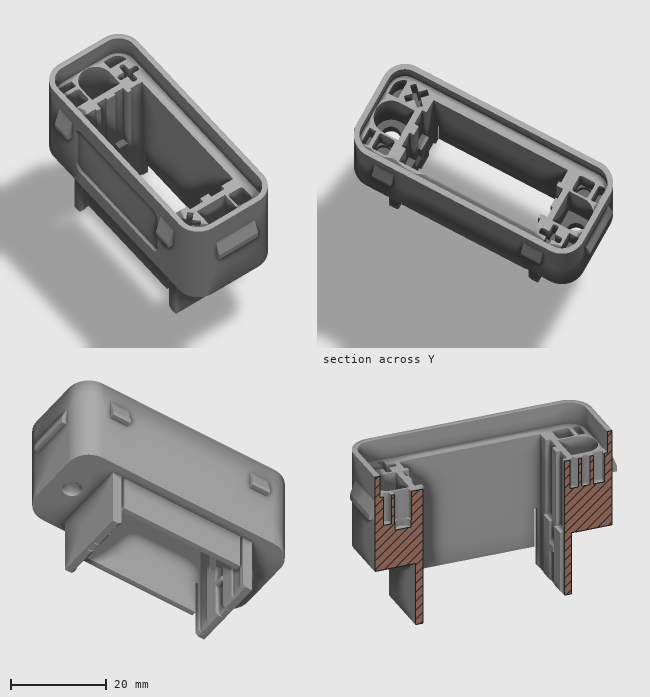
import cadquery as cq

overall_length = 56.3
overall_width = 24.4

body_length = 53.95
body_width = 21.95
body_height = 22.4
corner_radius = 5.05
wall = 1.2
floor_top = 17.4

window_length = 32.05
window_width = 15.15

skirt_length = 29.45
skirt_depth = 9.0
skirt_width = 17.45
leg_depth = 14.45
leg_outer_x = 17.75
leg_inner_x = 15.5
leg_chamfer = 0.7

key_half_width = 4.5
groove_outer_x = 17.05
finger_half_width = 1.05
slit_width = 0.2
left_groove_end_y = 3.5
left_finger_x = 16.55
nub_tip_x = 15.3
nub_top = -4.95
nub_bottom = -6.2
nub_ramp_rise = 1.1

screw_x = 22.0
screw_hole_diameter = 4.3
screw_pocket_radius = 3.65
screw_seat = 3.4

coding_depth = 6.75
coding_bottom = floor_top - coding_depth
square_x = 20.6
square_y = 5.95
square_side = 3.8
square_corner = 0.55
round_diameter = 3.7
round_depth = 1.7
cross_x = 19.6
cross_y = 6.7
cross_span = 5.1
cross_arm_width = 1.35
plus_tip_fillet = 0.45
diagonal_tip_fillet = 0.15
quarter_inner_x = 22.75
quarter_inner_y = 4.35
quarter_center_x = 22.3
quarter_center_y = 5.95
quarter_radius = 2.75
quarter_fillet = 0.3
slot_center_x = 24.1
slot_inner_y = 4.1
slot_outer_y = 7.8
slot_width = 1.65
slot_fillet = 0.55

end_clip_reach = (overall_length - body_length) / 2
side_clip_reach = (overall_width - body_width) / 2
side_clip_x = 17.75
side_clip_width = 4.45
side_clip_top = body_height - 4.05
side_clip_bend = body_height - 8.2
side_clip_bottom = body_height - 9.25
end_clip_width = 10.1
end_clip_top = body_height - 5.8
end_clip_bend = body_height - 8.85
end_clip_bottom = body_height - 10.2

panel_length = 28.7
panel_height = 13.9
panel_top = body_height - 4.45
panel_corner = 1.95
panel_depth = 0.5
panel_taper = 45


def block(x_range, y_range, z_range):
    """Box spanning the given (low, high) ranges."""
    sizes = [high - low for low, high in (x_range, y_range, z_range)]
    corner = (x_range[0], y_range[0], z_range[0])
    return cq.Workplane("XY").box(*sizes, centered=False).translate(corner)


def opposite(shape):
    """The same shape turned half a turn about Z."""
    return shape.rotate((0, 0, 0), (0, 0, 1), 180)


def make_hood():
    hood = cq.Workplane("XY").rect(body_length, body_width).extrude(body_height)
    hood = hood.edges("|Z").fillet(corner_radius)
    rim = (
        cq.Workplane("XY", origin=(0, 0, floor_top))
        .rect(body_length - 2 * wall, body_width - 2 * wall)
        .extrude(body_height - floor_top)
        .edges("|Z").fillet(corner_radius - wall)
    )
    return hood.cut(rim)


def make_skirt_and_legs():
    skirt = block(
        (-skirt_length / 2, skirt_length / 2),
        (-skirt_width / 2, skirt_width / 2),
        (-skirt_depth, 0),
    )
    leg = block(
        (leg_inner_x, leg_outer_x),
        (-skirt_width / 2, skirt_width / 2),
        (-leg_depth, 0),
    )
    leg = leg.edges("<X and <Z").chamfer(leg_chamfer)
    return skirt.union(leg).union(opposite(leg))


def make_window():
    """Cutter for the window, stopping short of the key pads on both ends."""
    x_end = window_length / 2
    y_end = window_width / 2
    heights = (-leg_depth, floor_top)
    window = block((-x_end, x_end), (-y_end, y_end), heights)
    keys = (-key_half_width, key_half_width)
    pad = block((leg_inner_x, x_end), keys, (-leg_depth, 0))
    left_pad = block((-x_end, -leg_inner_x), keys, heights)
    return window.cut(pad).cut(left_pad)


def make_finger_cuts(groove_end_y, finger_x):
    """Cutter at the +X end: key grooves, slits beside the finger and finger face."""
    slit_end_y = finger_half_width + slit_width
    cuts = block(
        (leg_inner_x, finger_x),
        (-finger_half_width, finger_half_width),
        (-leg_depth, floor_top),
    )
    groove_x = (leg_inner_x, groove_outer_x)
    slit = block(groove_x, (finger_half_width, slit_end_y), (-leg_depth, floor_top))
    groove = block(groove_x, (slit_end_y, groove_end_y), (0, floor_top))
    for side_cut in (slit, groove):
        cuts = cuts.union(side_cut).union(side_cut.mirror("XZ"))
    return cuts


def make_nub(finger_x, ramp_rise):
    """Latching nub at the +X end, with its upper face rising toward the finger."""
    profile = [
        (finger_x, nub_bottom),
        (nub_tip_x, nub_bottom),
        (nub_tip_x, nub_top),
        (finger_x, nub_top + ramp_rise),
    ]
    return cq.Workplane("XZ").polyline(profile).close().extrude(finger_half_width, both=True)


def make_screw_pocket():
    """D-shaped pocket with a through hole, at the +X end."""
    plane = cq.Workplane("XY", origin=(screw_x, 0, screw_seat))
    pocket = (
        plane.moveTo(-screw_pocket_radius, -screw_pocket_radius)
        .lineTo(0, -screw_pocket_radius)
        .threePointArc((screw_pocket_radius, 0), (0, screw_pocket_radius))
        .lineTo(-screw_pocket_radius, screw_pocket_radius)
        .close()
        .extrude(floor_top - screw_seat)
    )
    hole = cq.Workplane("XY", origin=(screw_x, 0, 0)).circle(screw_hole_diameter / 2).extrude(floor_top)
    return pocket.union(hole)


def make_cross(tip_fillet):
    """Plus-shaped pocket with rounded arm tips, centred on Z."""
    arm = (
        cq.Workplane("XY", origin=(0, 0, coding_bottom))
        .rect(cross_span, cross_arm_width)
        .extrude(coding_depth)
        .edges("|Z").fillet(tip_fillet)
    )
    return arm.union(arm.rotate((0, 0, 0), (0, 0, 1), 90))


def make_square_pocket():
    """Rounded square pocket with a round bottom, in the +X +Y corner."""
    square = (
        cq.Workplane("XY", origin=(square_x, square_y, coding_bottom))
        .rect(square_side, square_side)
        .extrude(coding_depth)
        .edges("|Z").fillet(square_corner)
    )
    bottom = cq.Workplane("XY", origin=(square_x, square_y, coding_bottom - round_depth))
    return square.union(bottom.circle(round_diameter / 2).extrude(round_depth))


def make_slot_pocket():
    """Narrow pocket in the +X +Y corner, rounded at its outer end."""
    slot = block(
        (slot_center_x - slot_width / 2, slot_center_x + slot_width / 2),
        (slot_inner_y, slot_outer_y),
        (coding_bottom, floor_top),
    )
    return slot.edges("|Z and >Y").fillet(slot_fillet)


def make_quarter_pocket():
    """Pocket in the +X -Y corner, following the rounded corner of the hood."""
    outer_x = quarter_center_x + quarter_radius
    x_range = (quarter_inner_x, outer_x)
    heights = (coding_bottom, floor_top)
    pocket = block(x_range, (-body_width / 2, -quarter_inner_y), heights)
    disc = (
        cq.Workplane("XY", origin=(quarter_center_x, -quarter_center_y, coding_bottom))
        .circle(quarter_radius)
        .extrude(coding_depth)
    )
    straight = block(x_range, (-quarter_center_y, -quarter_inner_y), heights)
    return pocket.intersect(disc.union(straight)).edges("|Z and <Y").fillet(quarter_fillet)


def make_clip(width, reach, face, top, bend, bottom):
    """Wedge clip on a wall whose outer face lies at Y = -face."""
    profile = [
        (-face + wall / 2, bottom),
        (-face - reach, bottom),
        (-face - reach, bend),
        (-face, top),
        (-face + wall / 2, top),
    ]
    return cq.Workplane("YZ").polyline(profile).close().extrude(width / 2, both=True)


def make_panel():
    """Cutter for the label panel, narrowing into the front wall."""
    center_z = panel_top - panel_height / 2
    outline = cq.Sketch().rect(panel_length, panel_height).vertices().fillet(panel_corner)
    plane = cq.Plane(origin=(0, -body_width / 2, center_z), xDir=(1, 0, 0), normal=(0, -1, 0))
    return cq.Workplane(plane).placeSketch(outline).extrude(-panel_depth, taper=panel_taper)


result = make_hood().union(make_skirt_and_legs()).cut(make_window())

right_finger_x = window_length / 2
result = result.cut(make_finger_cuts(key_half_width, right_finger_x))
result = result.cut(opposite(make_finger_cuts(left_groove_end_y, left_finger_x)))
result = result.union(make_nub(right_finger_x, nub_ramp_rise))
result = result.union(opposite(make_nub(left_finger_x, 0)))

for pocket in (make_screw_pocket(), make_square_pocket(), make_slot_pocket(), make_quarter_pocket()):
    result = result.cut(pocket).cut(opposite(pocket))

plus = make_cross(plus_tip_fillet)
result = result.cut(plus.translate((-cross_x, cross_y, 0)))
diagonal = make_cross(diagonal_tip_fillet).rotate((0, 0, 0), (0, 0, 1), 45)
result = result.cut(diagonal.translate((cross_x, -cross_y, 0)))

side_clip = make_clip(
    side_clip_width, side_clip_reach, body_width / 2, side_clip_top, side_clip_bend, side_clip_bottom
)
for x in (-side_clip_x, side_clip_x):
    clip = side_clip.translate((x, 0, 0))
    result = result.union(clip).union(opposite(clip))
end_clip = make_clip(
    end_clip_width, end_clip_reach, body_length / 2, end_clip_top, end_clip_bend, end_clip_bottom
)
end_clip = end_clip.rotate((0, 0, 0), (0, 0, 1), 90)
result = result.union(end_clip).union(opposite(end_clip))

result = result.cut(make_panel())